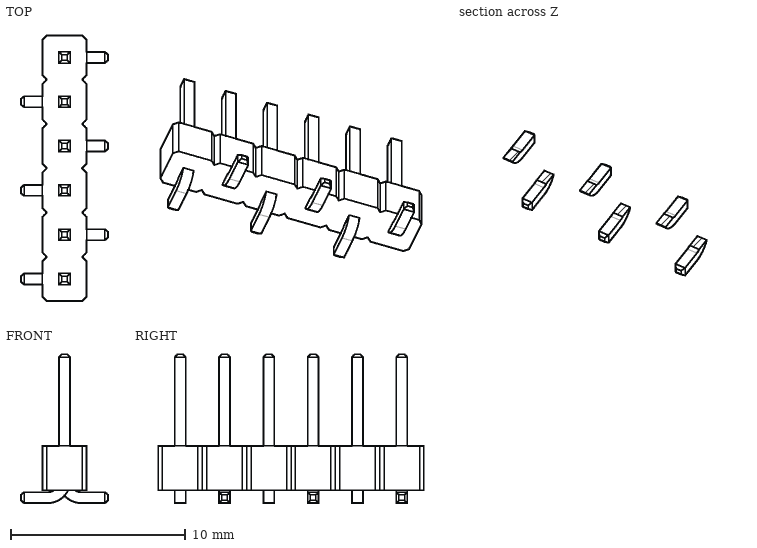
import cadquery as cq

PIN_COUNT = 6
PITCH = 2.54
BODY_WIDTH = PITCH
BODY_HEIGHT = 2.54
BODY_STANDOFF = 0.74
CORNER_CHAMFER = PITCH / 10
TOTAL_HEIGHT = 8.54
LEAD_SPAN = 5.0
PIN_SIZE = 0.64
BEND_INNER_RADIUS = PIN_SIZE
TIP_INSET = 0.16
PIN_TIP_LENGTH = 0.16
LEAD_TIP_LENGTH = 0.18

HALF_PIN = PIN_SIZE / 2
LEAD_REACH = LEAD_SPAN / 2
BEND_OUTER_RADIUS = BEND_INNER_RADIUS + PIN_SIZE
BEND_CENTER_X = HALF_PIN - BEND_OUTER_RADIUS
TIP_SIZE = PIN_SIZE - 2 * TIP_INSET
FIRST_PIN_Y = -(PIN_COUNT - 1) * PITCH / 2


def make_body_cell(y):
    """One chamfered insulator cell; neighbouring chamfers form the V notches."""
    return (
        cq.Workplane("XY")
        .box(BODY_WIDTH, PITCH, BODY_HEIGHT, centered=(True, True, False))
        .edges("|Z")
        .chamfer(CORNER_CHAMFER)
        .translate((0, y, BODY_STANDOFF))
    )


def make_tip(plane, length):
    """Frustum that tapers the end of the square wire outwards from the plane."""
    return (
        cq.Workplane(plane)
        .rect(PIN_SIZE, PIN_SIZE)
        .workplane(offset=length)
        .rect(TIP_SIZE, TIP_SIZE)
        .loft(ruled=True)
    )


def make_left_pin():
    """Square wire at Y = 0: upright post, 90 degree bend and a foot towards -X."""
    foot_end_x = LEAD_TIP_LENGTH - LEAD_REACH
    post_end_z = TOTAL_HEIGHT - PIN_TIP_LENGTH
    wire = (
        cq.Workplane("XZ")
        .moveTo(foot_end_x, 0)
        .lineTo(BEND_CENTER_X, 0)
        .radiusArc((HALF_PIN, BEND_OUTER_RADIUS), -BEND_OUTER_RADIUS)
        .lineTo(HALF_PIN, post_end_z)
        .lineTo(-HALF_PIN, post_end_z)
        .lineTo(-HALF_PIN, BEND_OUTER_RADIUS)
        .radiusArc((BEND_CENTER_X, PIN_SIZE), BEND_INNER_RADIUS)
        .lineTo(foot_end_x, PIN_SIZE)
        .close()
        .extrude(HALF_PIN, both=True)
    )
    post_plane = cq.Plane(origin=(0, 0, post_end_z), xDir=(1, 0, 0), normal=(0, 0, 1))
    foot_plane = cq.Plane(origin=(foot_end_x, 0, HALF_PIN), xDir=(0, 1, 0), normal=(-1, 0, 0))
    post_tip = make_tip(post_plane, PIN_TIP_LENGTH)
    foot_tip = make_tip(foot_plane, LEAD_TIP_LENGTH)
    return wire.union(post_tip).union(foot_tip)


def make_header():
    """Join the cells and pins; feet alternate sides, starting with -X at the -Y end."""
    left_pin = make_left_pin()
    right_pin = left_pin.mirror("YZ")
    header = make_body_cell(FIRST_PIN_Y)
    for index in range(1, PIN_COUNT):
        header = header.union(make_body_cell(FIRST_PIN_Y + index * PITCH))
    for index in range(PIN_COUNT):
        pin = left_pin if index % 2 == 0 else right_pin
        header = header.union(pin.translate((0, FIRST_PIN_Y + index * PITCH, 0)))
    return header.clean()


result = make_header()